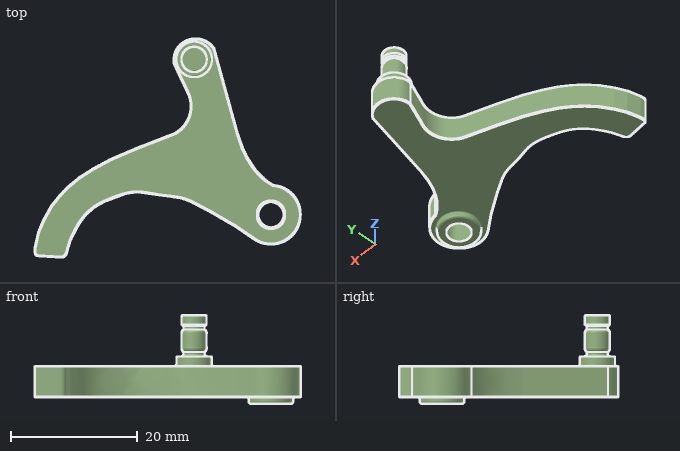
import cadquery as cq

plate_thickness = 5.0
plate_edge_chamfer = 0.13

hub_radius = 4.7
bore_diameter = 4.0
bore_chamfer = 0.25
boss_radius = 3.5
boss_height = 1.0
boss_root_fillet = 0.2
boss_rim_fillet = 0.4

pin_x = -12.1
pin_y = 24.45
pin_height = 8.0
pin_radius = 4.0 / 2
pin_rim_fillet = 0.3
collar_radius = 5.6 / 2
collar_height = 1.5
collar_rim_fillet = 0.3
collar_root_fillet = 0.15

groove_radius = 1.68
neck_fillet = 0.35
neck_top = 2.18
land_bottom = 2.95
land_top = 5.05
ring_groove_bottom = 5.7
ring_groove_top = 6.25
head_bottom = 6.55

pin_arm_left = (-15.35, 23.92)
pin_arm_crown = (-12.35, 27.75)
pin_arm_right = (-8.92, 26.15)
waist_end = (-5.25, 12.8)
waist_curve = [(-3.77, 9.1), (-2.3, 6.87)]
hub_start_x = 0.38
hub_end_x = -2.8
hook_inner_curve = [
    (-10.8, 1.15),
    (-14.0, 2.55),
    (-17.6, 3.05),
    (-21.05, 3.55),
    (-24.65, 2.72),
    (-27.85, 1.15),
    (-30.25, -1.45),
]
hook_inner_end = (-31.55, -4.0)
hook_inner_end_direction = (-4.0, -9.2)
hook_tip_inner = (-32.4, -6.8)
hook_tip_outer = (-37.2, -6.5)
hook_tip_inner_fillet = 0.92
hook_tip_outer_fillet = 0.55

hook_back_facets = [
    (-37.2, -5.15),
    (-36.7, -2.9),
    (-35.85, -0.9),
    (-34.6, 1.4),
    (-33.25, 3.05),
    (-31.93, 4.45),
    (-30.25, 5.82),
    (-28.05, 7.25),
    (-25.15, 8.8),
    (-21.0, 10.55),
    (-15.15, 12.82),
]
crook_mid = (-12.75, 16.15)
crook_end = (-13.2, 19.35)
pin_arm_side = (-14.45, 22.0)


def hub_point(x, side):
    """Point on the hub circle at x, with side +1 above the pivot and -1 below."""
    return (x, side * (hub_radius**2 - x**2) ** 0.5)


def make_plate():
    """Plate with a rounded hook tip and chamfered rims."""
    hub_start = hub_point(hub_start_x, 1)
    hub_end = hub_point(hub_end_x, -1)
    hub_end_direction = (hub_end[1], -hub_end[0])
    outline = (
        cq.Workplane("XY")
        .moveTo(*pin_arm_left)
        .threePointArc(pin_arm_crown, pin_arm_right)
        .lineTo(*waist_end)
        .spline(waist_curve + [hub_start], includeCurrent=True)
        .threePointArc((hub_radius, 0), hub_end)
        .spline(
            hook_inner_curve + [hook_inner_end],
            tangents=[hub_end_direction, hook_inner_end_direction],
            includeCurrent=True,
        )
        .lineTo(*hook_tip_inner)
        .lineTo(*hook_tip_outer)
    )
    for corner in hook_back_facets:
        outline = outline.lineTo(*corner)
    outline = outline.threePointArc(crook_mid, crook_end).lineTo(*pin_arm_side).close()
    plate = outline.extrude(plate_thickness)
    tip_corners = [(hook_tip_inner, hook_tip_inner_fillet), (hook_tip_outer, hook_tip_outer_fillet)]
    for (x, y), radius in tip_corners:
        corner_edge = cq.selectors.NearestToPointSelector((x, y, plate_thickness / 2))
        plate = plate.edges("|Z").edges(corner_edge).fillet(radius)
    return plate.faces("<Z or >Z").chamfer(plate_edge_chamfer)


def make_boss():
    """Boss under the hub, flared where it meets the plate and rounded at its rim."""
    flare_radius = boss_radius + boss_root_fillet
    profile = (
        cq.Workplane("XZ")
        .lineTo(flare_radius, 0)
        .radiusArc((boss_radius, -boss_root_fillet), -boss_root_fillet)
        .lineTo(boss_radius, boss_rim_fillet - boss_height)
        .radiusArc((boss_radius - boss_rim_fillet, -boss_height), boss_rim_fillet)
        .lineTo(0, -boss_height)
        .close()
    )
    return profile.revolve(360, (0, 0), (0, 1))


def make_pin():
    """Turned pin with a collar, a neck and a ring groove, standing on z = 0."""
    profile = (
        cq.Workplane("XZ")
        .lineTo(collar_radius + collar_root_fillet, 0)
        .radiusArc((collar_radius, collar_root_fillet), collar_root_fillet)
        .lineTo(collar_radius, collar_height - collar_rim_fillet)
        .radiusArc((collar_radius - collar_rim_fillet, collar_height), -collar_rim_fillet)
        .lineTo(groove_radius + neck_fillet, collar_height)
        .radiusArc((groove_radius, collar_height + neck_fillet), neck_fillet)
        .lineTo(groove_radius, neck_top)
        .radiusArc((pin_radius, land_bottom), -(land_bottom - neck_top))
        .lineTo(pin_radius, land_top)
        .radiusArc((groove_radius, ring_groove_bottom), -(ring_groove_bottom - land_top))
        .lineTo(groove_radius, ring_groove_top)
        .lineTo(pin_radius, head_bottom)
        .lineTo(pin_radius, pin_height - pin_rim_fillet)
        .radiusArc((pin_radius - pin_rim_fillet, pin_height), -pin_rim_fillet)
        .lineTo(0, pin_height)
        .close()
    )
    return profile.revolve(360, (0, 0), (0, 1))


def make_bore():
    """Cutter for the pivot bore, widened by a chamfer at the top of the plate."""
    bore_radius = bore_diameter / 2
    profile = (
        cq.Workplane("XZ")
        .moveTo(0, -boss_height)
        .lineTo(bore_radius, -boss_height)
        .lineTo(bore_radius, plate_thickness - bore_chamfer)
        .lineTo(bore_radius + bore_chamfer, plate_thickness)
        .lineTo(0, plate_thickness)
        .close()
    )
    return profile.revolve(360, (0, 0), (0, 1))


pin = make_pin().translate((pin_x, pin_y, plate_thickness))
result = make_plate().union(make_boss()).union(pin).cut(make_bore())